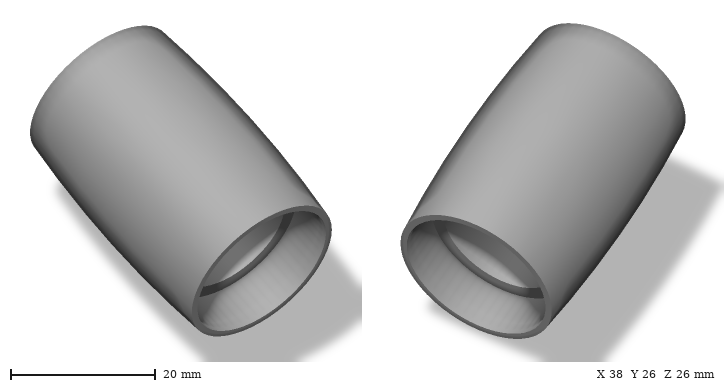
import cadquery as cq

length = 38.0
end_diameter = 24.0
middle_diameter = 26.0

socket_diameter = 22.0
socket_depth = 7.0
passage_diameter = 18.0

half_length = length / 2


def barrel():
    """Solid body whose side bulges along an arc from end to end."""
    end_radius = end_diameter / 2
    return (
        cq.Workplane("XY")
        .moveTo(-half_length, 0)
        .lineTo(-half_length, end_radius)
        .threePointArc((0, middle_diameter / 2), (half_length, end_radius))
        .lineTo(half_length, 0)
        .close()
        .revolve(360, (0, 0, 0), (1, 0, 0))
    )


def bore(diameter, start_x, depth):
    """Cylinder along X, to be cut from the body."""
    return cq.Workplane("YZ", origin=(start_x, 0, 0)).circle(diameter / 2).extrude(depth)


result = barrel().cut(bore(passage_diameter, -half_length, length))
for socket_start in (-half_length, half_length - socket_depth):
    result = result.cut(bore(socket_diameter, socket_start, socket_depth))